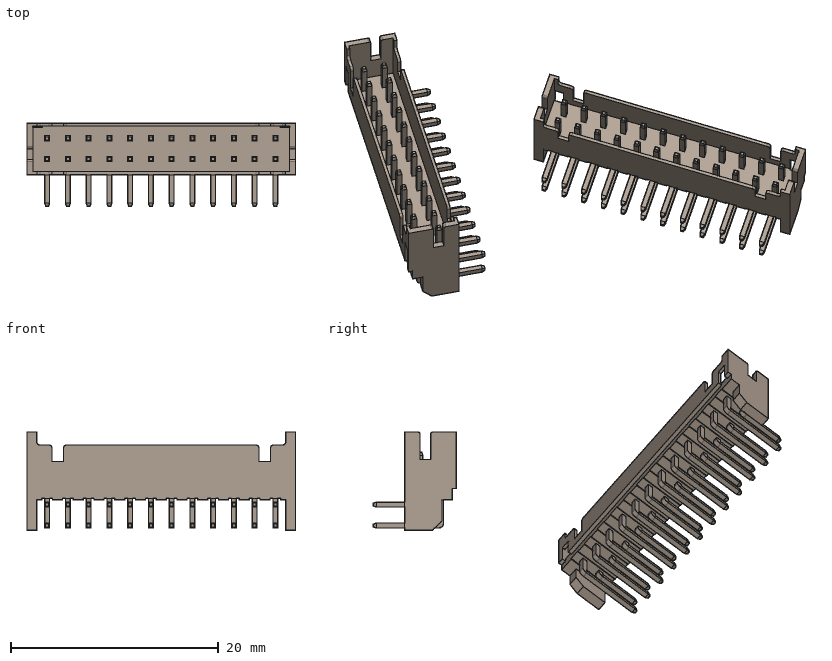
import cadquery as cq


length = 25.9
depth = 5.0
height = 9.48
end_width = 0.95
base_bottom = 2.93
back_step_z = 4.01
back_step_depth = 0.4
foot_back = 3.6
foot_chamfer = 0.9

end_wall = 0.57
long_wall = 0.3
floor_z = 4.5
long_wall_top = 8.24

edge_radius = 0.3
notch_start = 2.43
notch_width = 1.1
front_notch_bottom = 6.65
back_notch_bottom = 5.55
slot_start = 1.5
slot_width = 1.0
slot_bottom = 6.85
slot_radius = 0.2
window_width = 0.9
window_top = 6.63

pins_per_row = 12
row_span = 22.0
pitch = row_span / (pins_per_row - 1)
pin_size = 0.5
pin_top = 7.54
leg_reach = 3.03
tip_length = 0.3
tip_size = 0.28
bend_radius = 0.5
front_row_y = 1.53
front_row_leg_z = 2.49
back_row_leg_z = 0.47
relief_width = 1.0
relief_depth = 0.15

half_length = length / 2
pin_columns = [(i - (pins_per_row - 1) / 2) * pitch for i in range(pins_per_row)]


def block(x_range, y_range, z_range):
    """Axis-aligned box between the given limits."""
    (x0, x1), (y0, y1), (z0, z1) = x_range, y_range, z_range
    return cq.Workplane("XY").box(x1 - x0, y1 - y0, z1 - z0, centered=False).translate((x0, y0, z0))


def housing_block():
    """Side profile along the whole length, cleared below the base between the end feet."""
    back_step_y = depth - back_step_depth
    profile = [
        (0, 0),
        (foot_back - foot_chamfer, 0),
        (foot_back, foot_chamfer),
        (foot_back, base_bottom),
        (back_step_y, base_bottom),
        (back_step_y, back_step_z),
        (depth, back_step_z),
        (depth, height),
        (0, height),
    ]
    body = cq.Workplane("YZ").polyline(profile).close().extrude(half_length, both=True)
    inner_end = half_length - end_width
    return body.cut(block((-inner_end, inner_end), (0, depth), (0, base_bottom)))


def cavity():
    """Pocket between the four walls, open at the top."""
    x_inner = half_length - end_wall
    return block((-x_inner, x_inner), (long_wall, depth - long_wall), (floor_z, height))


def long_wall_opening():
    """Space above both long walls, with two notches in each and rounded wall corners."""
    post_x = half_length - end_width
    notch_outer = half_length - notch_start
    notch_inner = notch_outer - notch_width
    mid_y = depth / 2
    opening = (
        block((-post_x, post_x), (0, depth), (long_wall_top, height))
        .edges("|Y and <Z").fillet(edge_radius)
    )
    for side in (-1, 1):
        x_limits = sorted((side * notch_inner, side * notch_outer))
        opening = opening.union(block(x_limits, (0, mid_y), (front_notch_bottom, long_wall_top)))
        opening = opening.union(block(x_limits, (mid_y, depth), (back_notch_bottom, long_wall_top)))
        for edge, away in ((notch_inner, -1), (notch_outer, 1)):
            corner = (
                cq.Workplane("XZ")
                .moveTo(side * edge, long_wall_top)
                .lineTo(side * (edge + away * edge_radius), long_wall_top)
                .radiusArc((side * edge, long_wall_top - edge_radius), -side * away * edge_radius)
                .close()
                .extrude(-depth)
            )
            opening = opening.union(corner)
    return opening


def end_slot():
    """Slot through both end walls, flaring at the top over its rounded corners."""
    slot_end = slot_start + slot_width
    start_z = height - slot_radius
    return (
        cq.Workplane("YZ")
        .moveTo(slot_start, slot_bottom)
        .lineTo(slot_start, start_z)
        .radiusArc((slot_start - slot_radius, height), -slot_radius)
        .lineTo(slot_end + slot_radius, height)
        .radiusArc((slot_end, start_z), -slot_radius)
        .lineTo(slot_end, slot_bottom)
        .close()
        .extrude(half_length, both=True)
    )


def back_windows():
    """Windows at both ends of the back wall, open down to the back step."""
    outer = half_length - end_wall
    window_x = (outer - window_width, outer)
    window = block(window_x, (depth - back_step_depth, depth), (back_step_z, window_top))
    return window.union(window.mirror("YZ"))


def pin_tip(plane, center):
    """Square tapered tip growing along the plane normal."""
    return (
        cq.Workplane(plane, origin=center)
        .rect(pin_size, pin_size)
        .workplane(offset=tip_length)
        .rect(tip_size, tip_size)
        .loft(combine=True)
    )


def bent_pin(x, y, leg_z):
    """Square pin rising at y, with a leg at leg_z bent forward through the front face."""
    half = pin_size / 2
    leg_end = tip_length - leg_reach
    post_end = pin_top - tip_length
    pin_x = (x - half, x + half)
    post = block(pin_x, (y - half, y + half), (leg_z - half, post_end))
    leg = block(pin_x, (leg_end, y + half), (leg_z - half, leg_z + half))
    bend = post.union(leg).edges("|X and >Y and <Z").fillet(bend_radius)
    return bend.union(pin_tip("XY", (x, y, post_end))).union(pin_tip("XZ", (x, leg_end, leg_z)))


housing = housing_block().cut(cavity()).cut(long_wall_opening()).cut(end_slot()).cut(back_windows())
for column_x in pin_columns:
    relief_x = (column_x - relief_width / 2, column_x + relief_width / 2)
    housing = housing.cut(block(relief_x, (0, depth), (base_bottom, base_bottom + relief_depth)))

result = housing
for column_x in pin_columns:
    result = result.union(bent_pin(column_x, front_row_y, front_row_leg_z))
    result = result.union(bent_pin(column_x, front_row_y + pitch, back_row_leg_z))